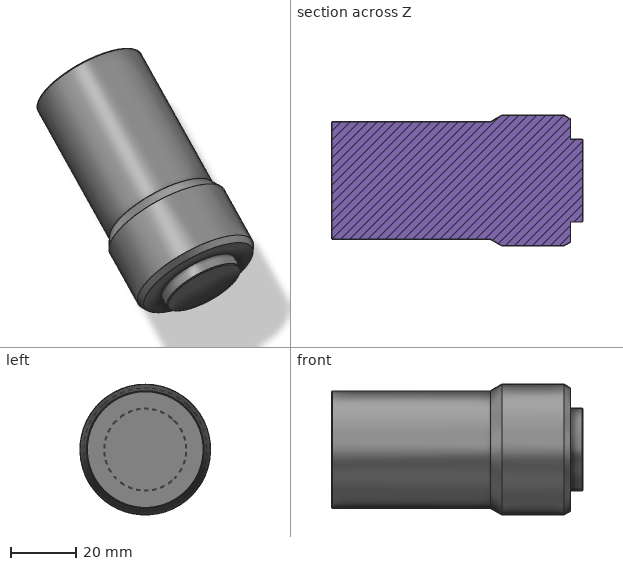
import cadquery as cq
import math

overall_length = 76.9
barrel_length = 48.6
spigot_length = 3.8
head_chamfer_length = 2.0

barrel_radius = 18.0
head_radius = 20.0
spigot_radius = 12.7

slope = math.tan(math.radians(30))

edge_chamfer = 0.3

taper_length = (head_radius - barrel_radius) / slope
head_chamfer_depth = head_chamfer_length * slope
head_start = barrel_length + taper_length
head_end = overall_length - spigot_length


def revolved_body():
    """Turn the half outline, given as (x, radius) points, about the X axis."""
    outline = [
        (0, 0),
        (0, barrel_radius - edge_chamfer),
        (edge_chamfer, barrel_radius),
        (barrel_length, barrel_radius),
        (head_start, head_radius),
        (head_end - head_chamfer_length, head_radius),
        (head_end, head_radius - head_chamfer_depth),
        (head_end, spigot_radius),
        (overall_length - edge_chamfer, spigot_radius),
        (overall_length, spigot_radius - edge_chamfer),
        (overall_length, 0),
    ]
    profile = cq.Workplane("XZ").polyline(outline).close()
    return profile.revolve(360, (0, 0, 0), (1, 0, 0))


result = revolved_body()